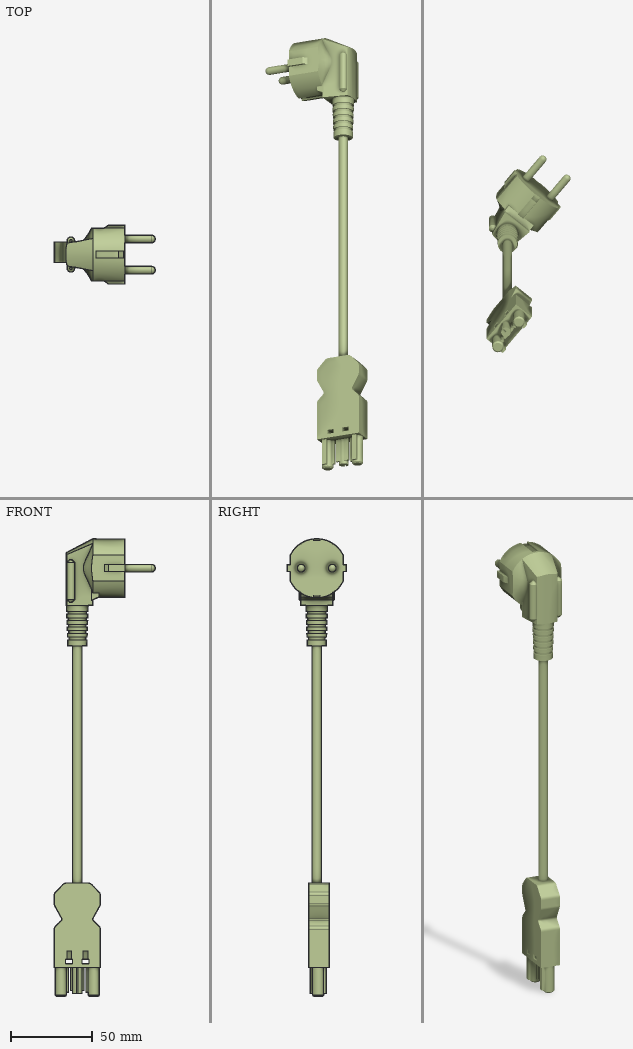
import cadquery as cq


TOTAL_HEIGHT = 279.5
TOTAL_LENGTH = 61.8
HOUSING_WIDTH = 28.2
OVERLAP = 0.8
SELECT_MARGIN = 0.3

HEAD_DIAMETER = 36.0
HEAD_RADIUS = HEAD_DIAMETER / 2
HEAD_HALF_WIDTH = 16.2
HEAD_BACK_X = 9.5
HEAD_FACE_X = 29.0
HEAD_Z = TOTAL_HEIGHT - HEAD_RADIUS

BODY_BACK_X = -7.0
BODY_BOTTOM_Z = 238.7
BODY_BACK_FLAT = 4.5
BODY_CORNER_X = -6.1
BODY_CORNER_HALF_WIDTH = 7.0
BODY_FRONT_HALF_WIDTH = 9.8
BODY_BACK_ROUND_POINT = (-6.7, 5.0)
ROOF_DROP = 8.7
GUSSET_LENGTH = 3.5
GUSSET_LOW_Z = 241.7
GUSSET_HIGH_Z = 243.7

FLARE_START = (3.5, 8.7)
FLARE_MIDDLE = (6.1, 11.7)
FLARE_END = (HEAD_BACK_X, HEAD_RADIUS)

GRIP_DIAMETER = 4.8
GRIP_X = -4.0
GRIP_Y = 8.5
GRIP_BOTTOM_Z = 240.5
GRIP_TOP_Z = 266.5
GRIP_CHAMFER = 1.7

CLIP_WIDTH = 4.2
CLIP_REACH = HEAD_RADIUS
CLIP_START_X = 16.5
CLIP_RAMP = 2.5
SLOT_WIDTH = 4.2
SLOT_START_X = 11.5
SLOT_DEPTH = 1.0
SLOT_POCKET_START_X = 25.2
SLOT_POCKET_END_X = 28.2
SLOT_POCKET_DEPTH = 2.5

PIN_DIAMETER = 4.8
PIN_OFFSET = 9.5
PIN_TIP_X = TOTAL_LENGTH - HOUSING_WIDTH / 2

RELIEF_BOTTOM_Z = 214.0
RELIEF_TOP_RADIUS = 6.7
RELIEF_BOTTOM_RADIUS = 6.0
GROOVE_COUNT = 5
GROOVE_PITCH = 4.0
GROOVE_HEIGHT = 1.7
GROOVE_DEPTH = 0.8
FIRST_GROOVE_Z = 234.2
CABLE_DIAMETER = 6.0

HOUSING_HALF_WIDTH = HOUSING_WIDTH / 2
HOUSING_THICKNESS = 12.5
HOUSING_Y = 1.5
HOUSING_BOTTOM_Z = 17.5
HOUSING_TOP_Z = 69.3
HOUSING_TOP_HALF_WIDTH = 7.8
SHOULDER_Z = 63.0
WAIST_START_Z = 56.0
WAIST_Z = 47.0
WAIST_HALF_WIDTH = 9.2
WAIST_END_Z = 42.2
OUTLINE_ROUND = 2.8
WAIST_ROUND = 1.0

WINDOW_OFFSET = 5.0
WINDOW_WIDTH = 4.2
WINDOW_BOTTOM_Z = 20.0
WINDOW_TOP_Z = 22.5
LATCH_WIDTH = 2.8
LATCH_TOP_Z = 27.7
LATCH_DEPTH = 2.8

POLE_DIAMETER = 7.0
POLE_OFFSET = 10.0
POLE_Y = 0.8
POLE_CHAMFER = 0.8
KEY_WIDTH = 2.8
KEY_REACH_Y = 6.0
KEY_END_Z = 1.7
FIN_INNER_X = 5.3
FIN_THICKNESS = 1.7
FIN_END_Z = 2.5
EARTH_DIAMETER = 6.0
EARTH_Y = -1.0
EARTH_END_Z = 1.7
EARTH_SLOT_WIDTH = 1.0
EARTH_SLOT_DEPTH = 2.8
WING_HALF_WIDTH = 4.2
WING_THICKNESS = 1.7
WING_END_Z = 3.5

SIDES = (-1, 1)


def centred(middle, size):
    """Range of the given size about a middle value."""
    return middle - size / 2, middle + size / 2


def box(x_range, y_range, z_range):
    """Axis-aligned box; the two values of each range may come in any order."""
    spans = [(min(pair), max(pair)) for pair in (x_range, y_range, z_range)]
    sizes = [high - low for low, high in spans]
    corner = tuple(low for low, _ in spans)
    return cq.Workplane("XY").box(*sizes, centered=False).translate(corner)


def rod(diameter, x, y, bottom_z, top_z):
    """Vertical cylinder."""
    plane = cq.Workplane("XY", origin=(x, y, bottom_z))
    return plane.circle(diameter / 2).extrude(top_z - bottom_z)


def make_head():
    length = HEAD_FACE_X - HEAD_BACK_X
    return cq.Workplane("YZ", origin=(HEAD_BACK_X, 0, HEAD_Z)).circle(HEAD_RADIUS).extrude(length)


def make_flare():
    axis_end = (FLARE_END[0], 0)
    return (
        cq.Workplane("XY")
        .moveTo(FLARE_START[0], 0)
        .lineTo(*FLARE_START)
        .threePointArc(FLARE_MIDDLE, FLARE_END)
        .lineTo(*axis_end)
        .close()
        .revolve(360, (0, 0, 0), (1, 0, 0))
        .translate((0, 0, HEAD_Z))
    )


def make_body():
    half_flat = BODY_BACK_FLAT / 2
    round_x, round_y = BODY_BACK_ROUND_POINT
    prism = (
        cq.Workplane("XY", origin=(0, 0, BODY_BOTTOM_Z))
        .moveTo(BODY_BACK_X, -half_flat)
        .lineTo(BODY_BACK_X, half_flat)
        .threePointArc((round_x, round_y), (BODY_CORNER_X, BODY_CORNER_HALF_WIDTH))
        .lineTo(HEAD_BACK_X, BODY_FRONT_HALF_WIDTH)
        .lineTo(HEAD_BACK_X, -BODY_FRONT_HALF_WIDTH)
        .lineTo(BODY_CORNER_X, -BODY_CORNER_HALF_WIDTH)
        .threePointArc((round_x, -round_y), (BODY_BACK_X, -half_flat))
        .close()
        .extrude(TOTAL_HEIGHT - BODY_BOTTOM_Z)
    )
    circle = cq.Wire.makeCircle(HEAD_RADIUS, cq.Vector(HEAD_BACK_X, 0, HEAD_Z), cq.Vector(1, 0, 0))
    slope = cq.Vector(BODY_BACK_X - HEAD_BACK_X, 0, -ROOF_DROP)
    roof = cq.Workplane(cq.Solid.extrudeLinear(circle, [], slope))
    lower_part = box(
        (BODY_BACK_X, HEAD_BACK_X),
        (-HEAD_RADIUS, HEAD_RADIUS),
        (BODY_BOTTOM_Z, HEAD_Z - ROOF_DROP),
    )
    return prism.intersect(roof.union(lower_part))


def make_gusset():
    """Wedge under the head where the body meets it."""
    inside_x = HEAD_BACK_X - OVERLAP
    end_x = HEAD_BACK_X + GUSSET_LENGTH
    return (
        cq.Workplane("XZ")
        .polyline([(inside_x, GUSSET_LOW_Z), (end_x, GUSSET_HIGH_Z), (end_x, HEAD_Z), (inside_x, HEAD_Z)])
        .close()
        .extrude(BODY_FRONT_HALF_WIDTH, both=True)
    )


def make_grip(side):
    rib = rod(GRIP_DIAMETER, GRIP_X, side * GRIP_Y, GRIP_BOTTOM_Z, GRIP_TOP_Z)
    return rib.edges("%CIRCLE").chamfer(GRIP_CHAMFER)


def make_clip(side):
    inside_y = HEAD_HALF_WIDTH - OVERLAP
    outline = [
        (CLIP_START_X, inside_y),
        (CLIP_START_X, HEAD_HALF_WIDTH),
        (CLIP_START_X + CLIP_RAMP, CLIP_REACH),
        (HEAD_FACE_X, CLIP_REACH),
        (HEAD_FACE_X, inside_y),
    ]
    return (
        cq.Workplane("XY", origin=(0, 0, HEAD_Z))
        .polyline([(x, side * y) for x, y in outline])
        .close()
        .extrude(CLIP_WIDTH / 2, both=True)
    )


def make_earth_slot(side):
    """Shallow slot with a deeper contact pocket near the head face."""
    rim_z = HEAD_Z + side * HEAD_RADIUS
    floor_z = rim_z - side * SLOT_DEPTH
    pocket_z = rim_z - side * SLOT_POCKET_DEPTH
    slot = box((SLOT_START_X, HEAD_FACE_X), centred(0, SLOT_WIDTH), (floor_z, rim_z))
    pocket = box((SLOT_POCKET_START_X, SLOT_POCKET_END_X), centred(0, SLOT_WIDTH), (pocket_z, rim_z))
    return slot.union(pocket)


def make_mains_pin(side):
    radius = PIN_DIAMETER / 2
    straight_end_x = PIN_TIP_X - radius
    start_x = HEAD_FACE_X - OVERLAP
    shaft = (
        cq.Workplane("YZ", origin=(start_x, side * PIN_OFFSET, HEAD_Z))
        .circle(radius)
        .extrude(straight_end_x - start_x)
    )
    tip = cq.Workplane("XY").sphere(radius).translate((straight_end_x, side * PIN_OFFSET, HEAD_Z))
    return shaft.union(tip)


def make_plug():
    flat_sides = box(
        (BODY_BACK_X, HEAD_FACE_X),
        (-HEAD_HALF_WIDTH, HEAD_HALF_WIDTH),
        (BODY_BOTTOM_Z, TOTAL_HEIGHT),
    )
    plug = make_head().union(make_flare()).intersect(flat_sides)
    plug = plug.union(make_body()).union(make_gusset())
    for side in SIDES:
        plug = plug.cut(make_earth_slot(side))
        plug = plug.union(make_grip(side)).union(make_clip(side)).union(make_mains_pin(side))
    return plug


def relief_radius(z):
    """Radius of the tapered strain relief at height z."""
    fraction = (z - RELIEF_BOTTOM_Z) / (BODY_BOTTOM_Z - RELIEF_BOTTOM_Z)
    return RELIEF_BOTTOM_RADIUS + fraction * (RELIEF_TOP_RADIUS - RELIEF_BOTTOM_RADIUS)


def make_strain_relief():
    top_z = BODY_BOTTOM_Z + OVERLAP
    outline = [(0, top_z), (RELIEF_TOP_RADIUS, top_z), (RELIEF_TOP_RADIUS, BODY_BOTTOM_Z)]
    for index in range(GROOVE_COUNT):
        groove_top = FIRST_GROOVE_Z + GROOVE_HEIGHT / 2 - index * GROOVE_PITCH
        groove_bottom = groove_top - GROOVE_HEIGHT
        outline += [
            (relief_radius(groove_top), groove_top),
            (relief_radius(groove_top) - GROOVE_DEPTH, groove_top),
            (relief_radius(groove_bottom) - GROOVE_DEPTH, groove_bottom),
            (relief_radius(groove_bottom), groove_bottom),
        ]
    outline += [(RELIEF_BOTTOM_RADIUS, RELIEF_BOTTOM_Z), (0, RELIEF_BOTTOM_Z)]
    return cq.Workplane("XZ").polyline(outline).close().revolve(360, (0, 0, 0), (0, 1, 0))


def make_cable():
    return rod(CABLE_DIAMETER, 0, 0, HOUSING_TOP_Z - OVERLAP, RELIEF_BOTTOM_Z + OVERLAP)


def height_band(low_z, high_z):
    """Selector for housing edges centred between two heights."""
    low_corner = (-2 * HOUSING_HALF_WIDTH, -HOUSING_THICKNESS, low_z - SELECT_MARGIN)
    high_corner = (2 * HOUSING_HALF_WIDTH, HOUSING_THICKNESS, high_z + SELECT_MARGIN)
    return cq.selectors.BoxSelector(low_corner, high_corner)


def make_housing():
    half_outline = [
        (HOUSING_HALF_WIDTH, HOUSING_BOTTOM_Z),
        (HOUSING_HALF_WIDTH, WAIST_END_Z),
        (WAIST_HALF_WIDTH, WAIST_Z),
        (HOUSING_HALF_WIDTH, WAIST_START_Z),
        (HOUSING_HALF_WIDTH, SHOULDER_Z),
        (HOUSING_TOP_HALF_WIDTH, HOUSING_TOP_Z),
    ]
    mirrored = [(-x, z) for x, z in reversed(half_outline)]
    slab = (
        cq.Workplane("XZ", origin=(0, HOUSING_Y, 0))
        .polyline(half_outline + mirrored)
        .close()
        .extrude(HOUSING_THICKNESS / 2, both=True)
    )
    slab = slab.edges("|Y").edges(height_band(WAIST_Z, WAIST_Z)).fillet(WAIST_ROUND)
    slab = slab.edges("|Y").edges(height_band(WAIST_END_Z, WAIST_END_Z)).fillet(OUTLINE_ROUND)
    slab = slab.edges("|Y").edges(height_band(WAIST_START_Z, HOUSING_TOP_Z)).fillet(OUTLINE_ROUND)
    front_y = HOUSING_Y - HOUSING_THICKNESS / 2
    for side in SIDES:
        x = side * WINDOW_OFFSET
        window = box(
            centred(x, WINDOW_WIDTH),
            (front_y, front_y + HOUSING_THICKNESS),
            (WINDOW_BOTTOM_Z, WINDOW_TOP_Z),
        )
        latch = box(
            centred(x, LATCH_WIDTH),
            (front_y, front_y + LATCH_DEPTH),
            (WINDOW_TOP_Z, LATCH_TOP_Z),
        )
        slab = slab.cut(window).cut(latch)
    return slab


def make_pole(side):
    """Outer pin with a key rib behind it and a thin fin towards the middle."""
    x = side * POLE_OFFSET
    root_z = HOUSING_BOTTOM_Z + OVERLAP
    pole = rod(POLE_DIAMETER, x, POLE_Y, 0, root_z).faces("<Z").edges().chamfer(POLE_CHAMFER)
    key = box(centred(x, KEY_WIDTH), (POLE_Y, KEY_REACH_Y), (KEY_END_Z, root_z))
    fin = box((x, side * FIN_INNER_X), centred(POLE_Y, FIN_THICKNESS), (FIN_END_Z, root_z))
    return pole.union(key).union(fin)


def make_earth_pin():
    """Middle pin with a groove down its front and a thin wing on each side."""
    root_z = HOUSING_BOTTOM_Z + OVERLAP
    pin = rod(EARTH_DIAMETER, 0, EARTH_Y, EARTH_END_Z, root_z)
    wings = box(centred(0, 2 * WING_HALF_WIDTH), centred(POLE_Y, WING_THICKNESS), (WING_END_Z, root_z))
    front_y = EARTH_Y - EARTH_DIAMETER / 2
    groove = box(
        centred(0, EARTH_SLOT_WIDTH),
        (front_y, front_y + EARTH_SLOT_DEPTH),
        (EARTH_END_Z, HOUSING_BOTTOM_Z),
    )
    return pin.union(wings).cut(groove)


def make_connector():
    connector = make_housing().union(make_earth_pin())
    for side in SIDES:
        connector = connector.union(make_pole(side))
    return connector


result = make_plug().union(make_strain_relief()).union(make_cable()).union(make_connector())